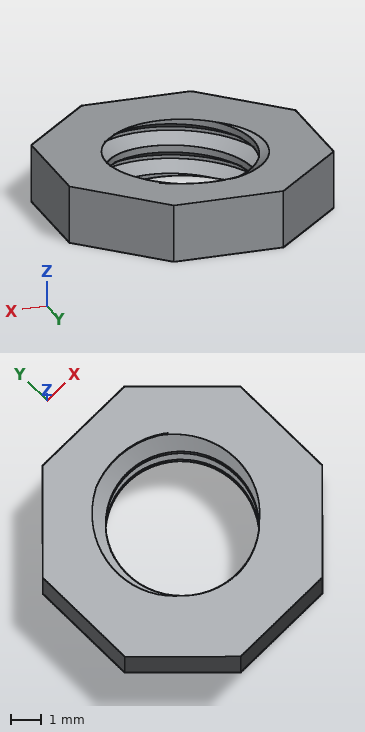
import cadquery as cq
import math

side_count = 8
across_flats = 9.17
thickness = 2.0

bore_diameter = 5.03
thread_turns = 2
pitch = thickness / thread_turns
flank_angle = 30.0
root_flat = pitch / 8
crest_flat = pitch / 4
run_out_turns = 1

bore_radius = bore_diameter / 2
flank_slope = math.tan(math.radians(flank_angle))
thread_depth = (pitch - root_flat - crest_flat) / (2 * flank_slope)
root_radius = bore_radius + thread_depth
bore_overlap = 0.05


def nut_body():
    across_corners = across_flats / math.cos(math.pi / side_count)
    return (
        cq.Workplane("XY")
        .polygon(side_count, across_corners)
        .extrude(thickness)
        .rotate((0, 0, 0), (0, 0, 1), 180 / side_count)
    )


def thread_groove():
    """Trapezoidal cutter whose centre meets both faces on the +Y side."""
    inner_radius = bore_radius - bore_overlap
    root_half = root_flat / 2
    mouth_half = root_half + (root_radius - inner_radius) * flank_slope
    length = thickness + 2 * run_out_turns * pitch

    path = cq.Wire.makeHelix(pitch, length, bore_radius)
    groove = (
        cq.Workplane("XZ")
        .polyline([
            (inner_radius, -mouth_half),
            (root_radius, -root_half),
            (root_radius, root_half),
            (inner_radius, mouth_half),
        ])
        .close()
        .sweep(path, isFrenet=True)
    )
    return groove.rotate((0, 0, 0), (0, 0, 1), 90).translate((0, 0, -run_out_turns * pitch))


bore = cq.Workplane("XY").circle(bore_radius).extrude(thickness)
result = nut_body().cut(bore).cut(thread_groove())